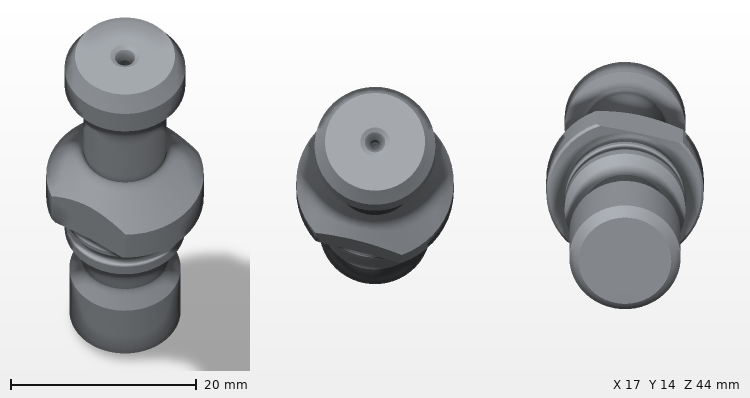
import cadquery as cq
import math

total_height = 44.0
cone_45 = math.tan(math.radians(45))
cone_30 = math.tan(math.radians(30))
cone_15 = math.tan(math.radians(15))

pilot_radius = 12.0 / 2
pilot_chamfer = 1.0
pilot_top = 8.25

waist_radius = 9.5 / 2
waist_bottom = pilot_top + (pilot_radius - waist_radius) / cone_30
waist_top = 13.25

land_radius = 13.02 / 2
land_bottom = waist_top + (land_radius - waist_radius) * cone_45
land_top = 18.5
land_edge_rounding = 0.2
groove_radius = 11.5 / 2
groove_bottom = 16.4
groove_top = 17.75
groove_corner_rounding = 0.3

neck_radius = 12.5 / 2
neck_bottom = 18.9

collar_radius = 17.0 / 2
collar_bottom = 19.95
collar_chamfer = 0.25
undercut_top = 20.35
undercut_corner_rounding = 0.4
collar_top = 24.05
flats_width = 14.0

stem_radius = 8.98 / 2
stem_bottom = collar_top + (collar_radius - stem_radius) * cone_45
head_radius = 13.02 / 2
head_bottom = 39.1
head_cone_bottom = 42.05
head_top_radius = head_radius - (total_height - head_cone_bottom) * cone_30
stem_top = head_bottom - (head_radius - stem_radius) * cone_15
under_head_rounding = 0.5

drill_radius = 1.0 / 2
seat_radius = 2.2 / 2
mouth_radius = 3.15 / 2
mouth_depth = (mouth_radius - seat_radius) * cone_30
seat_depth = mouth_depth + (seat_radius - drill_radius) / cone_30
drill_length = 0.9
drill_depth = seat_depth + drill_length
drill_tip_depth = drill_depth + drill_radius * cone_30


def revolve_profile(points):
    """Revolve (radius, height) points, closed on the Z axis."""
    return cq.Workplane("XZ").polyline(points).close().revolve(360, (0, 0), (0, 1))


def make_body():
    return revolve_profile([
        (0, 0),
        (pilot_radius - pilot_chamfer, 0),
        (pilot_radius, pilot_chamfer),
        (pilot_radius, pilot_top),
        (waist_radius, waist_bottom),
        (waist_radius, waist_top),
        (land_radius, land_bottom),
        (land_radius, groove_bottom),
        (groove_radius, groove_bottom),
        (groove_radius, groove_top),
        (land_radius, groove_top),
        (land_radius, land_top),
        (neck_radius, neck_bottom),
        (neck_radius, undercut_top),
        (collar_radius - collar_chamfer, collar_bottom),
        (collar_radius, collar_bottom + collar_chamfer),
        (collar_radius, collar_top),
        (stem_radius, stem_bottom),
        (stem_radius, stem_top),
        (head_radius, head_bottom),
        (head_radius, head_cone_bottom),
        (head_top_radius, total_height),
        (0, total_height),
    ])


def round_circle(body, radius, height, rounding):
    """Fillet the circular edge of the given radius at the given height."""
    margin = 0.005
    reach = radius + margin
    edge_box = cq.selectors.BoxSelector(
        (-reach, -reach, height - margin), (reach, reach, height + margin), boundingbox=True
    )
    edges = body.edges(edge_box).edges(cq.selectors.RadiusNthSelector(-1))
    return edges.fillet(rounding)


def cut_flats(body):
    """Trim the collar to the width across its flats; all other sections are narrower."""
    envelope = cq.Workplane("XY").box(
        2 * collar_radius, flats_width, total_height, centered=(True, True, False)
    )
    return body.intersect(envelope)


def make_centre_hole():
    return revolve_profile([
        (0, total_height),
        (mouth_radius, total_height),
        (seat_radius, total_height - mouth_depth),
        (drill_radius, total_height - seat_depth),
        (drill_radius, total_height - drill_depth),
        (0, total_height - drill_tip_depth),
    ])


body = make_body()
for groove_side in (groove_bottom, groove_top):
    body = round_circle(body, groove_radius, groove_side, groove_corner_rounding)
    body = round_circle(body, land_radius, groove_side, land_edge_rounding)
body = round_circle(body, neck_radius, undercut_top, undercut_corner_rounding)
body = round_circle(body, stem_radius, stem_top, under_head_rounding)

result = cut_flats(body).cut(make_centre_hole())